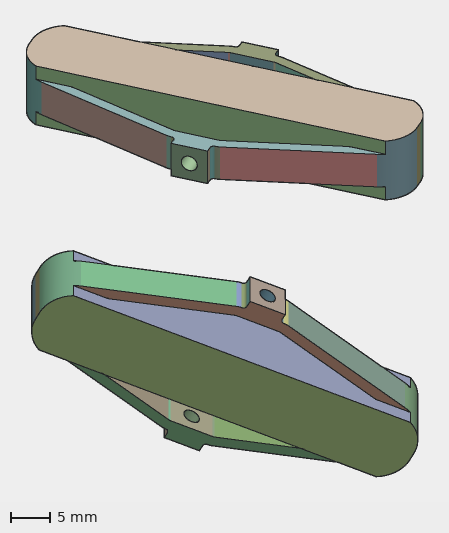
import cadquery as cq
import math

length = 53.1
width = 25.0
body_width = 10.0
body_height = 9.0
arm_height = 5.0
arm_thickness = 1.5
pad_width = 5.0
pad_projection = 1.4
pad_fillet = 0.5
end_flat = 1.15
end_radius = 5.0
inner_bend_radius = 1.0
hole_diameter = 2.2

outer_bend_radius = inner_bend_radius + arm_thickness
end_center = (end_radius - length / 2, end_flat / 2)
arm_outer_y = width / 2 - pad_projection
bend_center = (-pad_width / 2 - pad_fillet, arm_outer_y - outer_bend_radius)

center_dx = bend_center[0] - end_center[0]
center_dy = bend_center[1] - end_center[1]
radius_drop = end_radius - outer_bend_radius
arm_angle = math.atan2(center_dy, center_dx) - math.asin(radius_drop / math.hypot(center_dx, center_dy))
arm_normal = math.pi / 2 + arm_angle


def on_arc(center, radius, angle):
    return (center[0] + radius * math.cos(angle), center[1] + radius * math.sin(angle))


def mirror_four_ways(quarter):
    half = quarter.union(quarter.mirror("YZ"))
    return half.union(half.mirror("XZ"))


def outer_quarter(height):
    """Quarter of the closed outline, without the pad, centred on Z."""
    bend_middle = (math.pi / 2 + arm_normal) / 2
    end_middle = (math.pi + arm_normal) / 2
    return (
        cq.Workplane("XY")
        .moveTo(0, 0)
        .lineTo(0, arm_outer_y)
        .lineTo(bend_center[0], arm_outer_y)
        .threePointArc(
            on_arc(bend_center, outer_bend_radius, bend_middle),
            on_arc(bend_center, outer_bend_radius, arm_normal),
        )
        .lineTo(*on_arc(end_center, end_radius, arm_normal))
        .threePointArc(
            on_arc(end_center, end_radius, end_middle),
            (-length / 2, end_center[1]),
        )
        .lineTo(-length / 2, 0)
        .close()
        .extrude(height / 2, both=True)
    )


def inner_quarter():
    """Quarter of the opening enclosed by the arms."""
    bend_end = on_arc(bend_center, inner_bend_radius, arm_normal)
    tip_x = bend_end[0] - bend_end[1] / math.tan(arm_angle)
    bend_middle = (math.pi / 2 + arm_normal) / 2
    return (
        cq.Workplane("XY")
        .moveTo(0, 0)
        .lineTo(0, arm_outer_y - arm_thickness)
        .lineTo(bend_center[0], arm_outer_y - arm_thickness)
        .threePointArc(on_arc(bend_center, inner_bend_radius, bend_middle), bend_end)
        .lineTo(tip_x, 0)
        .close()
        .extrude(arm_height / 2, both=True)
    )


def pad_quarter():
    """Quarter of the mounting pads, with the concave fillet at the foot."""
    fillet_center = (bend_center[0], arm_outer_y + pad_fillet)
    return (
        cq.Workplane("XY")
        .moveTo(0, arm_outer_y - arm_thickness)
        .lineTo(0, width / 2)
        .lineTo(-pad_width / 2, width / 2)
        .lineTo(-pad_width / 2, fillet_center[1])
        .threePointArc(
            on_arc(fillet_center, pad_fillet, -math.pi / 4),
            (fillet_center[0], arm_outer_y),
        )
        .lineTo(fillet_center[0], arm_outer_y - arm_thickness)
        .close()
        .extrude(arm_height / 2, both=True)
    )


arms = mirror_four_ways(outer_quarter(arm_height).cut(inner_quarter()).union(pad_quarter()))
hole = cq.Workplane("XZ").circle(hole_diameter / 2).extrude(width, both=True)
arms = arms.cut(hole)

bar = cq.Workplane("XY").box(length, body_width, body_height)
body = mirror_four_ways(outer_quarter(body_height)).intersect(bar)

result = body.union(arms)